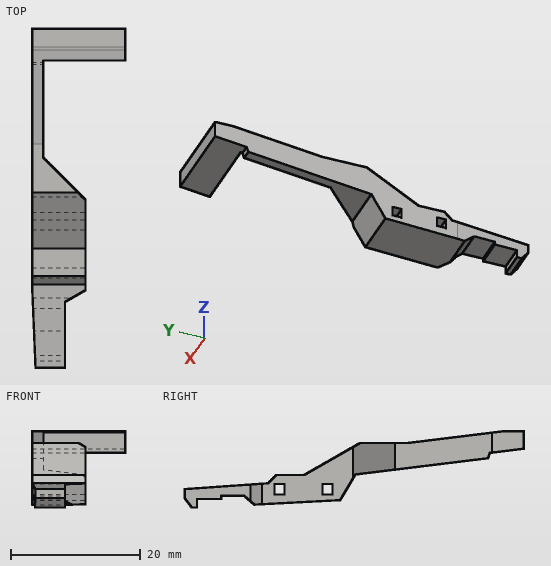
import cadquery as cq
import math


width = 14.4
length = 52.45
height = 11.82

arm_slope = math.tan(math.radians(7))
tongue_slope = math.tan(math.radians(4))
base_slope = math.tan(math.radians(3))

arm_width = 1.75
body_width = 8.25
tongue_right = 5.1
tip_inset = 0.5

bar_front_y = 47.5
flare_start_y = 32.5
flare_end_y = 26.0
shoulder_y = 12.0
tongue_root_y = 10.2

tip_top_z = 2.86
tongue_top_y = 12.9
tongue_top_z = tip_top_z + tongue_slope * tongue_top_y
shelf_z = 5.05
shelf_front_y = 14.2
shelf_back_y = 18.5
hump_z = 10.0
hump_front_y = 27.15
hump_back_y = 34.6
arm_top_y = 49.15
arm_top_z = hump_z + arm_slope * (arm_top_y - hump_back_y)
bar_top_y = 49.6

bar_bottom_z = 9.07
bar_step_y = 47.2
bar_step_z = bar_bottom_z - arm_slope * (length - bar_step_y)
arm_bottom_y = 46.9
arm_bottom_z = 7.6
arm_root_y = 26.4
arm_root_z = arm_bottom_z - arm_slope * (arm_bottom_y - arm_root_y)
base_back_y = 24.05
base_back_z = 1.12
base_front_y = 10.8
base_front_z = base_back_z - base_slope * (base_back_y - base_front_y)
tongue_bottom_y = 9.2
tongue_bottom_z = 1.8
tongue_step_y = 5.7
tongue_step_z = 1.3
hook_back_y = 1.95
hook_front_y = 1.1
hook_nose_z = 1.45

hole_length = 1.5
hole_height = 1.6
hole_center_z = 2.83
hole_centers_y = (14.68, 22.08)


def side_profile():
    """Outline in the YZ plane, extruded over the full width."""
    upper = [
        (0, tip_top_z),
        (tongue_top_y, tongue_top_z),
        (shelf_front_y, shelf_z),
        (shelf_back_y, shelf_z),
        (hump_front_y, hump_z),
        (hump_back_y, hump_z),
        (arm_top_y, arm_top_z),
        (bar_top_y, height),
        (length, height),
    ]
    lower = [
        (length, bar_bottom_z),
        (bar_step_y, bar_step_z),
        (arm_bottom_y, arm_bottom_z),
        (arm_root_y, arm_root_z),
        (base_back_y, base_back_z),
        (base_front_y, base_front_z),
        (tongue_bottom_y, tongue_bottom_z),
        (tongue_step_y, tongue_bottom_z),
        (tongue_step_y, tongue_step_z),
        (hook_back_y, tongue_step_z),
        (hook_back_y, 0),
        (hook_front_y, 0),
        (0, hook_nose_z),
    ]
    return cq.Workplane("YZ").polyline(upper + lower).close().extrude(width)


def plan_profile():
    """Outline in the XY plane, extruded over the full height."""
    outline = [
        (tip_inset, 0),
        (tongue_right, 0),
        (tongue_right, tongue_root_y),
        (body_width, shoulder_y),
        (body_width, flare_end_y),
        (arm_width, flare_start_y),
        (arm_width, bar_front_y),
        (width, bar_front_y),
        (width, length),
        (0, length),
        (0, shoulder_y),
    ]
    return cq.Workplane("XY").polyline(outline).close().extrude(height)


def cross_holes():
    """Rectangular holes running along X through the body."""
    return (
        cq.Workplane("YZ")
        .pushPoints([(y, hole_center_z) for y in hole_centers_y])
        .rect(hole_length, hole_height)
        .extrude(body_width)
    )


result = side_profile().intersect(plan_profile()).cut(cross_holes())